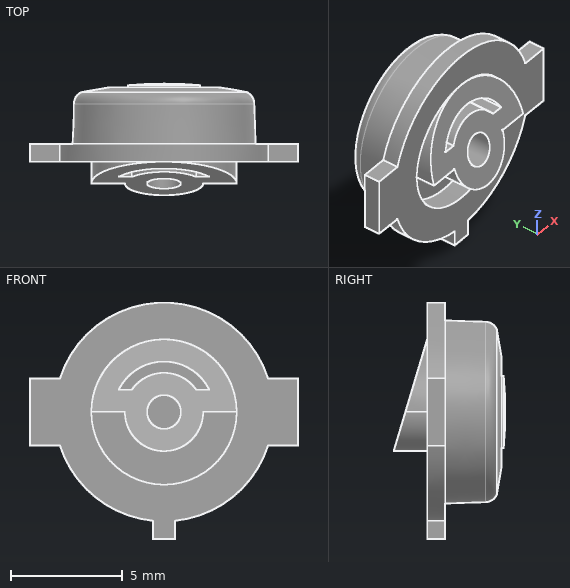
import cadquery as cq
import math

flange_radius = 4.9
flange_thickness = 0.8
ear_span = 12.0
ear_height = 3.0
key_width = 1.0
key_reach = 5.69

cup_base_radius = 4.1
cup_shoulder_radius = 4.05
cup_shoulder_height = 1.8
dome_edge_radius = 3.71
dome_edge_height = 2.32
dome_height = 2.7
ring_height = 2.53
ring_inner_radius = 1.62
ring_outer_radius = 2.52

pocket_radius = 3.25
pocket_depth = 1.0
hub_radius = 1.75
wedge_reach = 1.5
bore_radius = 0.75
slot_outer_radius = 2.25
slot_floor_z = 1.0


def cylinder(radius, start_y, end_y):
    """Solid cylinder on the part axis between two Y positions."""
    disc = cq.Workplane("XZ", origin=(0, end_y, 0)).circle(radius)
    return disc.extrude(end_y - start_y)


def block(width, start_y, end_y, bottom_z, top_z):
    """Box centred on X = 0."""
    size = (width, end_y - start_y, top_z - bottom_z)
    return cq.Workplane("XY").box(*size, centered=(True, False, False)).translate((0, start_y, bottom_z))


def make_flange():
    disc = cylinder(flange_radius, 0, flange_thickness)
    ears = block(ear_span, 0, flange_thickness, -ear_height / 2, ear_height / 2)
    key = block(key_width, 0, flange_thickness, -key_reach, 0)
    return disc.union(ears).union(key)


def make_cup():
    """Tapered wall, rounded shoulder and shallow spherical dome."""
    dome_rise = dome_height - dome_edge_height
    sphere_radius = (dome_edge_radius**2 + dome_rise**2) / (2 * dome_rise)
    mid_radius = dome_edge_radius / 2
    mid_height = dome_height - sphere_radius + math.sqrt(sphere_radius**2 - mid_radius**2)
    profile = (
        cq.Workplane("XY", origin=(0, flange_thickness, 0))
        .lineTo(cup_base_radius, 0)
        .lineTo(cup_shoulder_radius, cup_shoulder_height)
        .tangentArcPoint((dome_edge_radius, dome_edge_height), relative=False)
        .threePointArc((mid_radius, mid_height), (0, dome_height))
        .close()
    )
    cup = profile.revolve(360, (0, 0, 0), (0, 1, 0))
    ring_start = flange_thickness + ring_height
    ring_end = flange_thickness + dome_height
    ring = cylinder(ring_outer_radius, ring_start, ring_end)
    return cup.cut(ring.cut(cylinder(ring_inner_radius, ring_start, ring_end)))


def make_wedge():
    """Half disc and hub, sliced by a plane rising from the pocket top to the hub bottom."""
    half_disc = cylinder(pocket_radius, -wedge_reach, pocket_depth).intersect(
        block(2 * pocket_radius, -wedge_reach, pocket_depth, 0, pocket_radius)
    )
    body = half_disc.union(cylinder(hub_radius, -wedge_reach, pocket_depth))
    slant = (
        cq.Workplane("YZ")
        .polyline([
            (pocket_depth, -hub_radius),
            (-wedge_reach, -hub_radius),
            (0, pocket_radius),
            (pocket_depth, pocket_radius),
        ])
        .close()
        .extrude(pocket_radius, both=True)
    )
    return body.intersect(slant)


def make_slot():
    """Arched slot above the hub with a level lower edge."""
    arch = cylinder(slot_outer_radius, -wedge_reach, pocket_depth)
    arch = arch.cut(cylinder(hub_radius, -wedge_reach, pocket_depth))
    window = block(2 * slot_outer_radius, -wedge_reach, pocket_depth, slot_floor_z, slot_outer_radius)
    return arch.intersect(window)


bore = cylinder(bore_radius, -wedge_reach, pocket_depth)
pocket = cylinder(pocket_radius, 0, pocket_depth)
result = make_flange().union(make_cup()).cut(pocket).union(make_wedge()).cut(make_slot()).cut(bore)